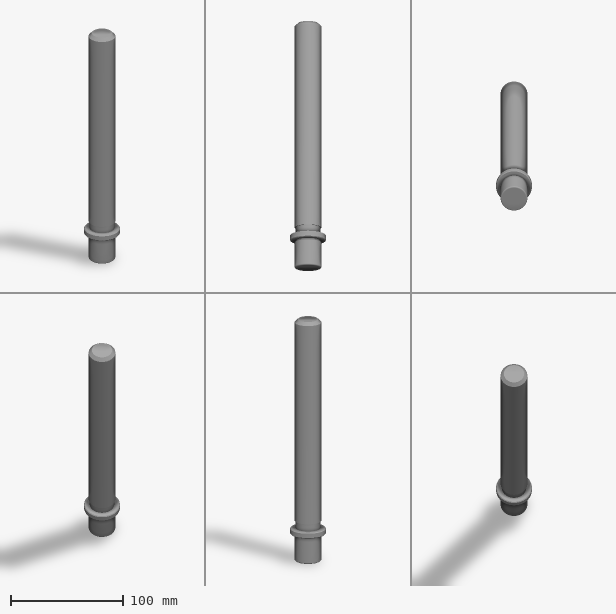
import cadquery as cq

total_length = 225.0
shaft_radius = 12.0
neck_radius = 11.0
collar_radius = 16.0
spigot_length = 23.5
lower_groove_width = 1.5
collar_thickness = 5.5
neck_length = 6.8
collar_chamfer = 0.7
foot_fillet = 1.1
tip_inset = 3.0
tip_height = 3.0

collar_bottom = spigot_length + lower_groove_width
collar_top = collar_bottom + collar_thickness
shaft_bottom = collar_top + neck_length


def cylinder(radius, bottom, top):
    return cq.Workplane("XY").workplane(offset=bottom).circle(radius).extrude(top - bottom)


spigot = cylinder(shaft_radius, 0, spigot_length).faces("<Z").edges().fillet(foot_fillet)

neck = cylinder(neck_radius, spigot_length, shaft_bottom)

collar = cylinder(collar_radius, collar_bottom, collar_top).edges().chamfer(collar_chamfer)

shaft = cylinder(shaft_radius, shaft_bottom, total_length)
shaft = shaft.faces(">Z").edges().chamfer(tip_height, tip_inset)

result = spigot.union(neck).union(collar).union(shaft)